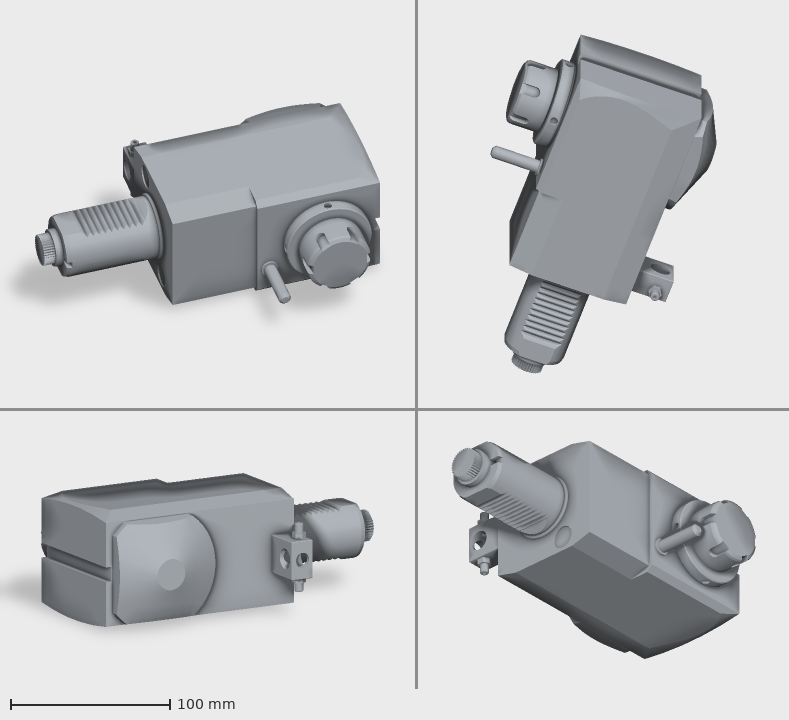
import cadquery as cq
import math


body_length = 136.0
body_height = 75.0
half_height = body_height / 2
half_width = 39.0
spindle_face = 41.5
flat_half_width = 23.8
flank_drop = 4.0
shoulder_y = 55.0
rear_slot_width = 9.5
rear_slot_depth = 4.0
flank_z = half_height - flank_drop
recess_radius = 7.5
recess_depth = 1.0
recess_x = 16.0
recess_z = 27.6

crown_height = 36.7
crown_front_left_y = 123.6
crown_front_right_y = 123.2
crown_front_waypoints = [(-5.7, 129.8), (13.3, 132.7), (27.5, 129.8)]

spindle_y = 100.0
cap_radius = 40
cap_tip_radius = 20.0 / 2
cap_rim = 5.5
cap_height = 19.8
cap_half_height = 33.0
cap_flat_rim = 1.5
cap_flat_angle = 12
cap_rear_y = 131.5

ring_start = 42.2
ring_end = 50.2
ring_radius = 56.0 / 2
ring_chamfer = 0.6
ring_hub_radius = 27.2
ring_hole_count = 4
ring_hole_radius = 2.5
ring_hole_depth = 3.2
ring_hole_tip = 1.5
neck_radius = 16.5
nut_start = 51.0
nut_end = 71.5
nut_radius = 20.9
nut_bevel_start = 68.8
nut_rim = 70.3
nut_rim_radius = 20.3
nut_tip_radius = 18.1
nut_slot_count = 6
nut_slot_width = 6.8
nut_slot_start = 59.3
nut_slot_floor = 17.7

pin_y = 63.0
pin_z = -17.5
pin_radius = 4.0
pin_end = 74.0
pin_chamfer = 1.7
pin_collar_radius = 5.5
pin_collar_end = 43.0

collar_radius = 21.5
collar_length = 2.3
shank_radius = 20.0
shank_end = -63.0
shank_lead = 3.5
shank_lead_radius = 19.6
shank_chamfer_start = -60.1
shank_tip_radius = 19.2
flat_z = 17.0
tooth_count = 10
tooth_pitch = 4.0
first_valley_y = -11.5
valley_z = 14.5
tooth_tip_z = 16.2
run_in_y = -4.9
flat_start_y = -51.0
neck_end = -67.7
shank_neck_radius = 12.0
overall_length = 211
spline_end = body_length - overall_length
spline_root_radius = 9.0
spline_tip_radius = 20.0 / 2
spline_count = 36
groove_width = 4.5
groove_depth = 3.2
groove_step_x = 14.8
groove_step_depth = 6.3

block_left = -65.0
block_front = 1.0
block_rear = 16.2
block_half_height = 24.7 / 2
block_chamfer = 0.5
bore_x = -56.1
bore_radius = 6.5
port_y = 8.7
port_radius = 9.5 / 2
port_end = -42.2
port_drill_radius = 1.5
screw_y = 6.1
screw_radius = 2.7
screw_end = 22.0
screw_chamfer = 0.5
screw_tip_z = 8.5
screw_hole_radius = 2.1
screw_socket_width = 2.7
screw_socket_depth = 2.5
lock_nut_width = 7.5
lock_nut_top = 16.0


def box(x_range, y_range, z_range):
    """Axis-aligned box between the given pairs of limits."""
    sizes = [high - low for low, high in (x_range, y_range, z_range)]
    corner = cq.Vector(x_range[0], y_range[0], z_range[0])
    return cq.Workplane(obj=cq.Solid.makeBox(*sizes, corner))


def rod(start, direction, radius, length):
    """Cylinder from a start point along a direction."""
    return cq.Workplane(obj=cq.Solid.makeCylinder(radius, length, cq.Vector(*start), cq.Vector(*direction)))


def turned_on_spindle(profile):
    """Solid turned about the spindle axis from (x, radius) points."""
    points = [(x, spindle_y + radius) for x, radius in profile]
    return cq.Workplane("XY").polyline(points).close().revolve(360, (0, spindle_y), (1, spindle_y))


def turned_on_shank(profile):
    """Solid turned about the shank axis from (radius, y) points."""
    return cq.Workplane("XY").polyline(profile).close().revolve(360, (0, 0), (0, 1))


def with_mirror(shape):
    """The shape together with its reflection in the Z = 0 plane."""
    return shape.union(shape.mirror("XY"))


def make_crown_cutter():
    """Wedge above the crowned bevel, a ruled surface between two curves.

    One curve is an arc on the rear face, the other lies on the flat top.
    """
    middle_x = (spindle_face - half_width) / 2
    rear_arc = cq.Edge.makeThreePointArc(
        cq.Vector(-half_width, body_length, flank_z),
        cq.Vector(middle_x, body_length, crown_height),
        cq.Vector(spindle_face, body_length, flank_z),
    )
    front_points = [
        (-flat_half_width, crown_front_left_y),
        *crown_front_waypoints,
        (spindle_face - flank_drop, crown_front_right_y),
    ]
    front_curve = cq.Edge.makeSpline([cq.Vector(x, y, half_height) for x, y in front_points])
    bevel = cq.Face.makeRuledSurface(rear_arc, front_curve)
    return cq.Workplane(obj=cq.Solid.extrudeLinear(bevel, cq.Vector(0, 0, 2 * flank_drop)))


def make_housing():
    narrow_top = [
        (-half_width, flank_z),
        (-flat_half_width, half_height),
        (flat_half_width, half_height),
        (half_width, flank_z),
    ]
    wide_top = narrow_top[:2] + [
        (spindle_face - flank_drop, half_height),
        (spindle_face, flank_z),
    ]

    def prism(top, y_start, y_end):
        bottom = [(x, -z) for x, z in reversed(top)]
        plane = cq.Workplane("XZ", origin=(0, y_end, 0))
        return plane.polyline(top + bottom).close().extrude(y_end - y_start)

    housing = prism(narrow_top, 0, shoulder_y).union(prism(wide_top, shoulder_y, body_length))
    housing = housing.cut(with_mirror(make_crown_cutter()))

    housing = housing.cut(
        box(
            (-half_width, spindle_face),
            (body_length - rear_slot_depth, body_length),
            (-rear_slot_width / 2, rear_slot_width / 2),
        )
    )
    for side in (1, -1):
        housing = housing.cut(rod((-side * recess_x, 0, side * recess_z), (0, 1, 0), recess_radius, recess_depth))
    return housing


def make_cap():
    base = -half_width
    cap = turned_on_spindle(
        [
            (base, 0),
            (base, cap_radius),
            (base - cap_rim, cap_radius),
            (base - cap_height, cap_tip_radius),
            (base - cap_height, 0),
        ]
    )
    slope_length = cap_height - cap_flat_rim
    tip_z = cap_half_height - slope_length * math.tan(math.radians(cap_flat_angle))
    top = [
        (base, cap_half_height),
        (base - cap_flat_rim, cap_half_height),
        (base - cap_height, tip_z),
    ]
    bottom = [(x, -z) for x, z in reversed(top)]
    envelope = (
        cq.Workplane("XZ", origin=(0, cap_rear_y, 0))
        .polyline(top + bottom)
        .close()
        .extrude(2 * cap_radius)
    )
    return cap.intersect(envelope)


def make_nose():
    nose = turned_on_spindle(
        [
            (spindle_face, 0),
            (spindle_face, ring_hub_radius),
            (ring_start, ring_hub_radius),
            (ring_start + ring_chamfer, ring_radius),
            (ring_end - ring_chamfer, ring_radius),
            (ring_end, ring_radius - ring_chamfer),
            (ring_end, neck_radius),
            (nut_start, neck_radius),
            (nut_start, nut_radius),
            (nut_bevel_start, nut_radius),
            (nut_rim, nut_rim_radius),
            (nut_end, nut_tip_radius),
            (nut_end, 0),
        ]
    )
    ring_hole_x = (ring_start + ring_end) / 2
    ring_hole_floor = ring_radius - ring_hole_depth
    floor_centre = (ring_hole_x, spindle_y, ring_hole_floor)
    ring_hole = rod(floor_centre, (0, 0, 1), ring_hole_radius, 2 * ring_hole_depth)
    drill_tip = cq.Solid.makeCone(
        0,
        ring_hole_radius,
        ring_hole_tip,
        cq.Vector(ring_hole_x, spindle_y, ring_hole_floor - ring_hole_tip),
    )
    ring_hole = ring_hole.union(cq.Workplane(obj=drill_tip))
    slot_round = nut_slot_width / 2
    slot_depth = nut_radius - nut_slot_floor
    slot_centre = nut_slot_start + slot_round
    slot = rod((slot_centre, spindle_y, nut_slot_floor), (0, 0, 1), slot_round, 2 * slot_depth).union(
        box(
            (slot_centre, nut_end),
            (spindle_y - slot_round, spindle_y + slot_round),
            (nut_slot_floor, nut_slot_floor + 2 * slot_depth),
        )
    )
    axis_start = (0, spindle_y, 0)
    axis_end = (1, spindle_y, 0)
    for index in range(ring_hole_count):
        angle = index * 360 / ring_hole_count
        nose = nose.cut(ring_hole.rotate(axis_start, axis_end, angle))
    for index in range(nut_slot_count):
        angle = 90 + index * 360 / nut_slot_count
        nose = nose.cut(slot.rotate(axis_start, axis_end, angle))
    return nose


def make_pin():
    pin_start = (spindle_face, pin_y, pin_z)
    pin = rod(pin_start, (1, 0, 0), pin_radius, pin_end - spindle_face).faces(">X").chamfer(pin_chamfer)
    collar = rod(pin_start, (1, 0, 0), pin_collar_radius, pin_collar_end - spindle_face)
    return pin.union(collar)


def make_tooth_cutter():
    """Region above the clamping teeth and the flat on the top of the shank."""
    clear_z = shank_radius + 2.1
    flank = tooth_tip_z - valley_z
    outline = [
        (run_in_y, clear_z),
        (run_in_y, shank_radius),
        (first_valley_y + tooth_pitch - flank, tooth_tip_z),
    ]
    for index in range(tooth_count):
        valley_y = first_valley_y - index * tooth_pitch
        outline += [
            (valley_y + flank, tooth_tip_z),
            (valley_y, valley_z),
            (valley_y - flank, tooth_tip_z),
        ]
    outline += [
        (flat_start_y, flat_z),
        (shank_end, flat_z),
        (shank_end, clear_z),
    ]
    plane = cq.Workplane("YZ", origin=(-shank_radius, 0, 0))
    return plane.polyline(outline).close().extrude(2 * shank_radius)


def make_shank():
    collar_base = collar_radius - collar_length / 2
    collar = (
        cq.Workplane("XY")
        .lineTo(collar_base, 0)
        .threePointArc((collar_radius, -collar_length / 2), (collar_base, -collar_length))
        .lineTo(0, -collar_length)
        .close()
        .revolve(360, (0, 0), (0, 1))
    )
    shank = turned_on_shank(
        [
            (0, 0),
            (shank_lead_radius, 0),
            (shank_lead_radius, -collar_length),
            (shank_radius, -shank_lead),
            (shank_radius, shank_chamfer_start),
            (shank_tip_radius, shank_end),
            (0, shank_end),
        ]
    )
    shank = shank.cut(with_mirror(make_tooth_cutter()))

    for groove_end, depth in ((collar_radius, groove_depth), (groove_step_x, groove_step_depth)):
        shank = shank.cut(
            box((0, groove_end), (shank_end, shank_end + depth), (-groove_width / 2, groove_width / 2))
        )
    neck_start = shank_end + groove_step_depth
    neck = rod((0, neck_start, 0), (0, -1, 0), shank_neck_radius, neck_start - neck_end)
    return shank.union(collar).union(neck).union(make_spline())


def make_spline():
    """Splined drive end with triangular teeth."""
    step = math.pi / spline_count
    outline = []
    for index in range(2 * spline_count):
        radius = spline_root_radius if index % 2 else spline_tip_radius
        outline.append((radius * math.sin(index * step), radius * math.cos(index * step)))
    plane = cq.Workplane("XZ", origin=(0, neck_end, 0))
    return plane.polyline(outline).close().extrude(neck_end - spline_end)


def make_set_screw():
    """Lock nut and socket set screw on the top of the block."""
    nut_height = lock_nut_top - block_half_height
    lock_nut = (
        cq.Workplane("XY", origin=(bore_x, screw_y, block_half_height))
        .polygon(6, lock_nut_width / math.cos(math.pi / 6))
        .extrude(nut_height)
    )
    screw_base = (bore_x, screw_y, block_half_height)
    screw = rod(screw_base, (0, 0, 1), screw_radius, screw_end - block_half_height)
    screw = screw.faces(">Z").chamfer(screw_chamfer)
    socket = (
        cq.Workplane("XY", origin=(bore_x, screw_y, screw_end))
        .polygon(6, screw_socket_width)
        .extrude(-screw_socket_depth)
    )
    return lock_nut.union(screw).cut(socket)


def make_coolant_block():
    block = box(
        (block_left, -half_width),
        (block_front, block_rear),
        (-block_half_height, block_half_height),
    )
    block = block.edges("not(>X)").chamfer(block_chamfer)
    bore = rod((bore_x, block_front, 0), (0, 1, 0), bore_radius, block_rear - block_front)
    port = rod((block_left, port_y, 0), (1, 0, 0), port_radius, port_end - block_left)
    drill = rod((port_end, port_y, 0), (1, 0, 0), port_drill_radius, -half_width - port_end)
    screw_hole = rod((bore_x, screw_y, -screw_tip_z), (0, 0, 1), screw_hole_radius, 2 * screw_tip_z)
    for hole in (bore, port, drill, screw_hole):
        block = block.cut(hole)
    return block.union(with_mirror(make_set_screw()))


result = make_housing()
for feature in (make_cap(), make_nose(), make_pin(), make_shank(), make_coolant_block()):
    result = result.union(feature)